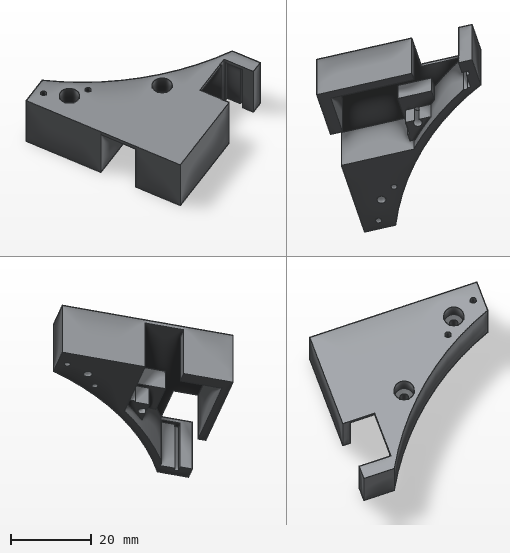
import cadquery as cq

length = 44.0
width = 40.0
height = 14.75
left_side = 8.0
arm_start_x = 36.0
arc_middle = (20.85, 20.85)

plate_thickness = 1.0
curved_wall = 2.0
front_wall = 3.1
right_wall = 2.0
arm_end_wall = 3.12
back_wall = 1.8
cavity_height = height - plate_thickness
cavity_right = length - right_wall
arm_cavity_right = length - arm_end_wall
cavity_back = width - back_wall

slot_left = 21.35
slot_width = 9.95

notch_left = 35.65
notch_front = 24.45
notch_back = 36.5

screw_points = [(8.5, 6.75), (26.7, 21.2)]
screw_diameter = 2.2
counterbore_diameter = 5.0
counterbore_depth = 5.0
pin_points = [(2.5, 4.3), (11.5, 10.82)]
pin_diameter = 1.5

boss_half_width = 4.85
boss_front = 17.4
boss_bottom = 8.25
rib_bottom = 3.1
rib_left = 21.85
rib_step = 24.0
rib_right = 27.65
outer_rib_front = 17.8
inner_rib_front = 18.25

arm_step_right = 39.78
arm_step_front = 37.4


def box(x_start, x_end, y_start, y_end, z_start, z_end):
    """Box between two limits on each axis."""
    size = (x_end - x_start, y_end - y_start, z_end - z_start)
    return cq.Workplane("XY").box(*size, centered=False).translate((x_start, y_start, z_start))


def outer_body():
    return (
        cq.Workplane("XY")
        .lineTo(length, 0)
        .lineTo(length, width)
        .lineTo(arm_start_x, width)
        .threePointArc(arc_middle, (0, left_side))
        .close()
        .extrude(height)
    )


def cavity(body):
    """Open-bottom space that follows the concave edge at the wall thickness."""
    inset = body.faces(">Z").wires().toPending().workplane().offset2D(-curved_wall)
    inner = inset.extrude(-height, combine=False)
    inner = inner.intersect(box(slot_left, cavity_right, front_wall, notch_back, 0, cavity_height))
    arm_space = box(arm_start_x, arm_cavity_right, notch_front, cavity_back, 0, cavity_height)
    return inner.union(arm_space)


def inner_supports(body):
    """Boss, ribs and arm step, trimmed to the outer outline."""
    screw_x, screw_y = screw_points[1]
    boss = box(
        screw_x - boss_half_width, screw_x + boss_half_width,
        boss_front, screw_y + boss_half_width,
        boss_bottom, height,
    )
    left_rib = box(rib_left, rib_step, outer_rib_front, width, rib_bottom, boss_bottom)
    right_rib = box(rib_step, rib_right, inner_rib_front, width, rib_bottom, boss_bottom)
    arm_step = box(notch_left, arm_step_right, arm_step_front, width, 0, height)
    return boss.union(left_rib).union(right_rib).union(arm_step).intersect(body)


def cut_holes(part):
    top = part.faces(">Z").workplane(origin=(0, 0, height))
    part = top.pushPoints(screw_points).cboreHole(screw_diameter, counterbore_diameter, counterbore_depth)
    top = part.faces(">Z").workplane(origin=(0, 0, height))
    return top.pushPoints(pin_points).hole(pin_diameter)


solid_body = outer_body()
part = solid_body.cut(cavity(solid_body))
part = part.cut(box(slot_left, slot_left + slot_width, 0, front_wall, 0, cavity_height))
part = part.union(inner_supports(solid_body))
part = part.cut(box(notch_left, length, notch_front, notch_back, 0, height))
result = cut_holes(part)